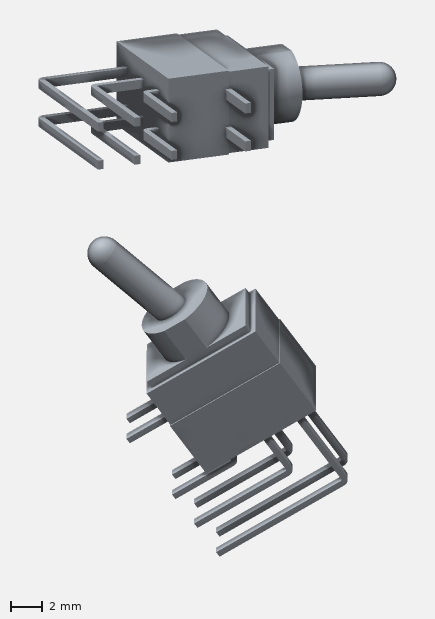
import cadquery as cq
import math


BASE_WIDTH = 8.4
BASE_LENGTH = 4.18
BASE_HEIGHT = 5.6

COVER_WIDTH = 8.3
COVER_LENGTH = 2.75
COVER_HEIGHT = 5.45

FLANGE_WIDTH = 7.52
FLANGE_LENGTH = 0.55
FLANGE_HEIGHT = 4.75
BUSHING_DIAMETER = 5.01
BUSHING_LENGTH = 2.5

PIN_COLUMNS = 3
PIN_SPAN = 5.08
PIN_THICKNESS = 0.4
PIN_HEIGHT = 0.6
PIN_INNER_RADIUS = 0.1
PIN_END_X = 7.26
FIRST_PIN_DROP = 1.1

LEG_LENGTH = 3.22
LEG_THICKNESS = 0.4
LEG_HEIGHT = 0.67
LEG_CENTRE_Y = -0.05

LEVER_DIAMETER = 2.18
LEVER_TILT = 12.7
LEVER_TIP_Y = 12.62

pin_pitch = PIN_SPAN / (PIN_COLUMNS - 1)
leg_end_x = BASE_WIDTH / 2 + LEG_LENGTH
lever_radius = LEVER_DIAMETER / 2
flange_top = COVER_LENGTH + FLANGE_LENGTH
bushing_top = flange_top + BUSHING_LENGTH
pivot_y = flange_top + BUSHING_LENGTH / 2
row_heights = (-pin_pitch / 2, pin_pitch / 2)


def block(x_min, x_max, y_min, y_max, height, centre_z=0):
    """Rectangular block, centred in Z on centre_z."""
    return (
        cq.Workplane("XY")
        .box(x_max - x_min, y_max - y_min, height, centered=(False, False, True))
        .translate((x_min, y_min, centre_z))
    )


def centred_block(width, y_min, length, height):
    """Rectangular block centred on the switch axis."""
    return block(-width / 2, width / 2, y_min, y_min + length, height)


def bent_pin(column, centre_z):
    """Terminal that leaves the base along -Y and bends to +X; column 0 is nearest +X."""
    centre_x = PIN_SPAN / 2 - column * pin_pitch
    left = centre_x - PIN_THICKNESS / 2
    right = centre_x + PIN_THICKNESS / 2
    top = -BASE_LENGTH
    bottom = top - FIRST_PIN_DROP - column * pin_pitch
    outline = (
        cq.Workplane("XY")
        .moveTo(left, top)
        .lineTo(left, bottom)
        .lineTo(PIN_END_X, bottom)
        .lineTo(PIN_END_X, bottom + PIN_THICKNESS)
        .lineTo(right, bottom + PIN_THICKNESS)
        .lineTo(right, top)
        .close()
    )
    pin = outline.extrude(PIN_HEIGHT).translate((0, 0, centre_z - PIN_HEIGHT / 2))
    inner_corner = cq.NearestToPointSelector((right, bottom + PIN_THICKNESS, centre_z))
    outer_corner = cq.NearestToPointSelector((left, bottom, centre_z))
    pin = pin.edges("|Z").edges(inner_corner).fillet(PIN_INNER_RADIUS)
    return pin.edges("|Z").edges(outer_corner).fillet(PIN_INNER_RADIUS + PIN_THICKNESS)


def support_leg(centre_z):
    """Straight leg on the +X side, straddling the step and touching base and cover."""
    y_min = LEG_CENTRE_Y - LEG_THICKNESS / 2
    return block(COVER_WIDTH / 2, leg_end_x, y_min, y_min + LEG_THICKNESS, LEG_HEIGHT, centre_z)


def make_lever():
    """Round-ended lever, tilted towards +X and resting in the bushing."""
    tip_centre_y = LEVER_TIP_Y - lever_radius
    shank_length = (tip_centre_y - pivot_y) / math.cos(math.radians(LEVER_TILT))
    half_profile = (
        cq.Workplane("XY")
        .lineTo(lever_radius, 0)
        .lineTo(lever_radius, shank_length)
        .radiusArc((0, shank_length + lever_radius), -lever_radius)
        .close()
    )
    upright = half_profile.revolve(360, (0, 0, 0), (0, 1, 0))
    return upright.rotate((0, 0, 0), (0, 0, 1), -LEVER_TILT).translate((0, pivot_y, 0))


def make_housing():
    """Base, cover, flange and bushing with the terminals and support legs attached."""
    base = centred_block(BASE_WIDTH, -BASE_LENGTH, BASE_LENGTH, BASE_HEIGHT)
    cover = centred_block(COVER_WIDTH, 0, COVER_LENGTH, COVER_HEIGHT)
    flange = centred_block(FLANGE_WIDTH, COVER_LENGTH, FLANGE_LENGTH, FLANGE_HEIGHT)
    bushing = (
        cq.Workplane("XZ", origin=(0, bushing_top, 0))
        .circle(BUSHING_DIAMETER / 2)
        .extrude(BUSHING_LENGTH)
        .intersect(centred_block(BUSHING_DIAMETER, flange_top, BUSHING_LENGTH, FLANGE_HEIGHT))
    )
    housing = base.union(cover).union(flange).union(bushing)
    for centre_z in row_heights:
        housing = housing.union(support_leg(centre_z))
        for column in range(PIN_COLUMNS):
            housing = housing.union(bent_pin(column, centre_z))
    return housing.clean()


lever = make_lever()
housing = make_housing().cut(lever)

result = cq.Compound.makeCompound([housing.val(), lever.val()])